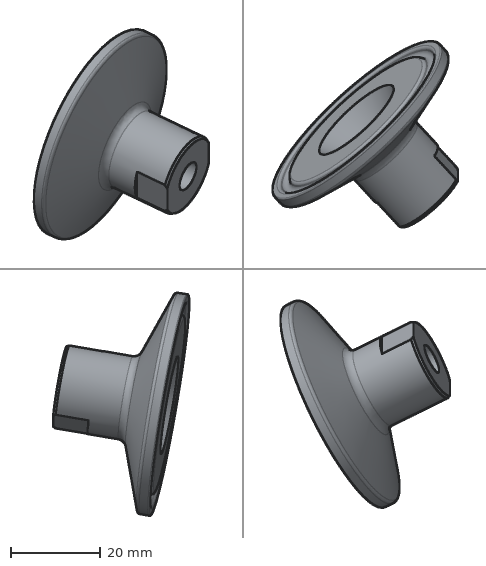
import cadquery as cq
import math

flange_radius = 25.25
rim_width = 2.85
back_angle = math.radians(20)
front_edge_round = 0.3
back_edge_round = 0.8
root_round = 2.0

total_length = 25.0
neck_radius = 9.5
chamfer_length = 0.6
chamfer_depth = 0.35
flat_distance = 8.5
flat_start = 16.9

mouth_radius = 11.1
hole_radius = 3.45
mouth_depth = 13.3

groove_radius = 21.65
groove_half_width = 2.0
groove_depth = 1.5
lip_round = 0.85
bottom_round = 1.2
wall_angle = math.radians(20)


def make_body():
    """Revolve the outer profile and round the flange and its root."""
    root_x = rim_width + (flange_radius - neck_radius) * math.tan(back_angle)
    body = (
        cq.Workplane("XZ")
        .polyline([
            (0, 0),
            (0, flange_radius),
            (rim_width, flange_radius),
            (root_x, neck_radius),
            (total_length - chamfer_length, neck_radius),
            (total_length, neck_radius - chamfer_depth),
            (total_length, 0),
        ])
        .close()
        .revolve(360, (0, 0, 0), (1, 0, 0))
    )

    def round_circle(solid, x, size):
        margin = 0.05
        reach = 2 * flange_radius
        selector = cq.selectors.BoxSelector(
            (x - margin, -reach, -reach), (x + margin, reach, reach), boundingbox=True
        )
        return solid.edges(selector).fillet(size)

    body = round_circle(body, root_x, root_round)
    body = round_circle(body, rim_width, back_edge_round)
    return round_circle(body, 0, front_edge_round)


def make_groove():
    """Ring with rounded lips, leaning walls and a round bottom."""
    def lip_point(side, angle):
        center = groove_radius + side * groove_half_width
        return (lip_round * (1 - math.sin(angle)), center - side * lip_round * math.cos(angle))

    def bottom_point(side, angle):
        center_x = groove_depth - bottom_round
        return (center_x + bottom_round * math.sin(angle),
                groove_radius + side * bottom_round * math.cos(angle))

    lip_middle = (wall_angle + math.pi / 2) / 2
    return (
        cq.Workplane("XZ")
        .moveTo(*lip_point(1, math.pi / 2))
        .threePointArc(lip_point(1, lip_middle), lip_point(1, wall_angle))
        .lineTo(*bottom_point(1, wall_angle))
        .threePointArc(bottom_point(1, math.pi / 2), bottom_point(-1, wall_angle))
        .lineTo(*lip_point(-1, wall_angle))
        .threePointArc(lip_point(-1, lip_middle), lip_point(-1, math.pi / 2))
        .close()
        .revolve(360, (0, 0, 0), (1, 0, 0))
    )


def make_bore():
    """Conical mouth followed by the straight through hole."""
    return (
        cq.Workplane("XZ")
        .polyline([
            (0, 0),
            (0, mouth_radius),
            (mouth_depth, hole_radius),
            (total_length, hole_radius),
            (total_length, 0),
        ])
        .close()
        .revolve(360, (0, 0, 0), (1, 0, 0))
    )


def make_flat_cutter(side):
    """Block that removes the neck beyond the flat on one Y side."""
    block_size = 2 * neck_radius
    return cq.Workplane("XY").box(
        total_length - flat_start, block_size, block_size, centered=(False, True, True)
    ).translate((flat_start, side * (flat_distance + block_size / 2), 0))


result = make_body().cut(make_groove()).cut(make_bore())
for side in (-1, 1):
    result = result.cut(make_flat_cutter(side))